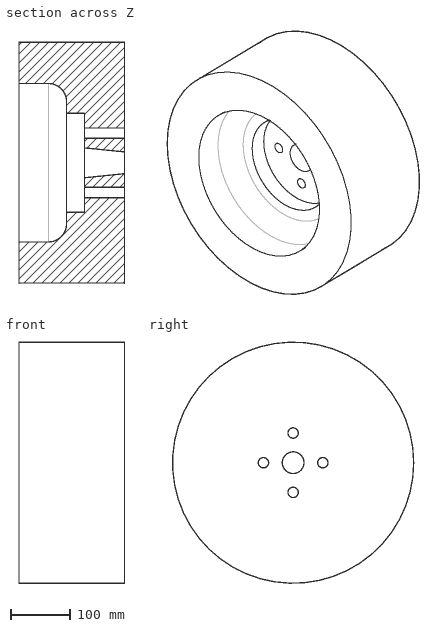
import cadquery as cq

wheel_diameter = 406.5
wheel_width = 178.0

dish_diameter = 266.5
dish_depth = 80.0
dish_corner_radius = 30.0

seat_diameter = 166.5
seat_depth = 30.0

bore_far_diameter = 36.0
bore_seat_diameter = 50.0

bolt_count = 4
bolt_hole_diameter = 17.0
bolt_circle_diameter = 100.0

near_face_x = -wheel_width / 2
dish_floor_x = near_face_x + dish_depth
seat_floor_x = dish_floor_x + seat_depth


def cylinder_along_x(diameter, start_x, length):
    """Solid cylinder on the wheel axis, running toward +X."""
    return cq.Workplane("YZ", origin=(start_x, 0, 0)).circle(diameter / 2).extrude(length)


def dish():
    """Recess volume with a rounded corner around its floor."""
    volume = cylinder_along_x(dish_diameter, near_face_x, dish_depth)
    return volume.faces(">X").edges().fillet(dish_corner_radius)


def bore():
    """Conical through bore, narrowing from the seat to the far face."""
    web_thickness = wheel_width - dish_depth - seat_depth
    return (
        cq.Workplane("YZ", origin=(seat_floor_x, 0, 0))
        .circle(bore_seat_diameter / 2)
        .workplane(offset=web_thickness)
        .circle(bore_far_diameter / 2)
        .loft(ruled=True)
    )


def bolt_holes():
    """Ring of through holes around the bore."""
    return (
        cq.Workplane("YZ", origin=(near_face_x, 0, 0))
        .polarArray(bolt_circle_diameter / 2, 0, 360, bolt_count)
        .circle(bolt_hole_diameter / 2)
        .extrude(wheel_width)
    )


result = (
    cylinder_along_x(wheel_diameter, near_face_x, wheel_width)
    .cut(dish())
    .cut(cylinder_along_x(seat_diameter, dish_floor_x, seat_depth))
    .cut(bore())
    .cut(bolt_holes())
)